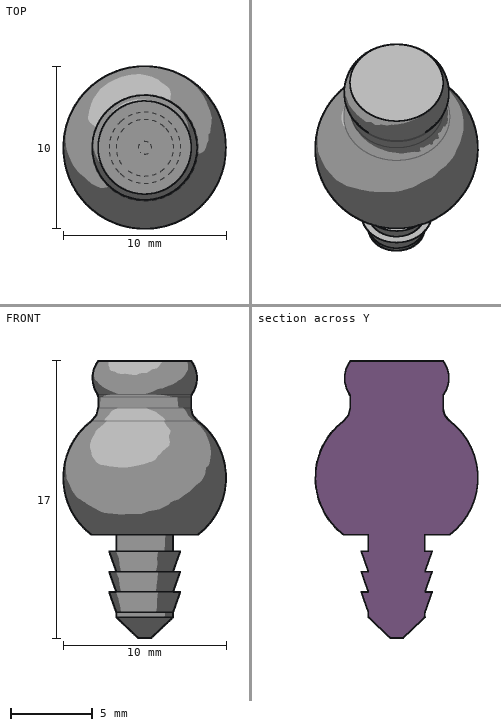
import cadquery as cq
import math


body_radius = 5.0
body_arc_radius = 4.4
body_arc_offset = body_radius - body_arc_radius
body_mid_height = 3.5

neck_radius = 2.86
head_radius = 3.22
head_height = 2.1
head_top = 10.67
head_bottom = head_top - head_height
neck_body_fillet = 1.0
neck_head_fillet = 0.3

shank_radius = 1.75
barb_radius = 2.19
barb_count = 3
barb_pitch = 1.25
first_barb_depth = 1.0
shank_land = 0.3

total_height = 17.0
tip_radius = 0.4
tip_bottom = head_top - total_height


def body_height_at(radius):
    """Half-height of the body arc, above its middle, at a given radius."""
    return math.sqrt(body_arc_radius**2 - (radius - body_arc_offset) ** 2)


def make_head_and_body():
    body_base_radius = body_arc_offset + math.sqrt(body_arc_radius**2 - body_mid_height**2)
    neck_bottom = body_mid_height + body_height_at(neck_radius)
    solid = (
        cq.Workplane("XZ")
        .lineTo(body_base_radius, 0)
        .threePointArc((body_radius, body_mid_height), (neck_radius, neck_bottom))
        .lineTo(neck_radius, head_bottom)
        .threePointArc((head_radius, head_top - head_height / 2), (neck_radius, head_top))
        .lineTo(0, head_top)
        .close()
        .revolve(360, (0, 0), (0, 1))
    )
    solid = fillet_ring(solid, neck_bottom, neck_body_fillet)
    return fillet_ring(solid, head_bottom, neck_head_fillet)


def fillet_ring(solid, height, radius):
    """Round the circular edge lying at the given height."""
    slab = 0.02
    reach = 2 * body_radius
    box = cq.selectors.BoxSelector(
        (-reach, -reach, height - slab), (reach, reach, height + slab), boundingbox=True
    )
    return solid.edges(box).fillet(radius)


def make_barbed_shank():
    barbs_top = -first_barb_depth
    barbs_bottom = barbs_top - barb_count * barb_pitch
    outline = [(0, 0), (shank_radius, 0)]
    for index in range(barb_count):
        barb_top = barbs_top - index * barb_pitch
        outline += [(shank_radius, barb_top), (barb_radius, barb_top)]
    outline += [
        (shank_radius, barbs_bottom),
        (shank_radius, barbs_bottom - shank_land),
        (tip_radius, tip_bottom),
        (0, tip_bottom),
    ]
    return cq.Workplane("XZ").polyline(outline).close().revolve(360, (0, 0), (0, 1))


result = make_head_and_body().union(make_barbed_shank())